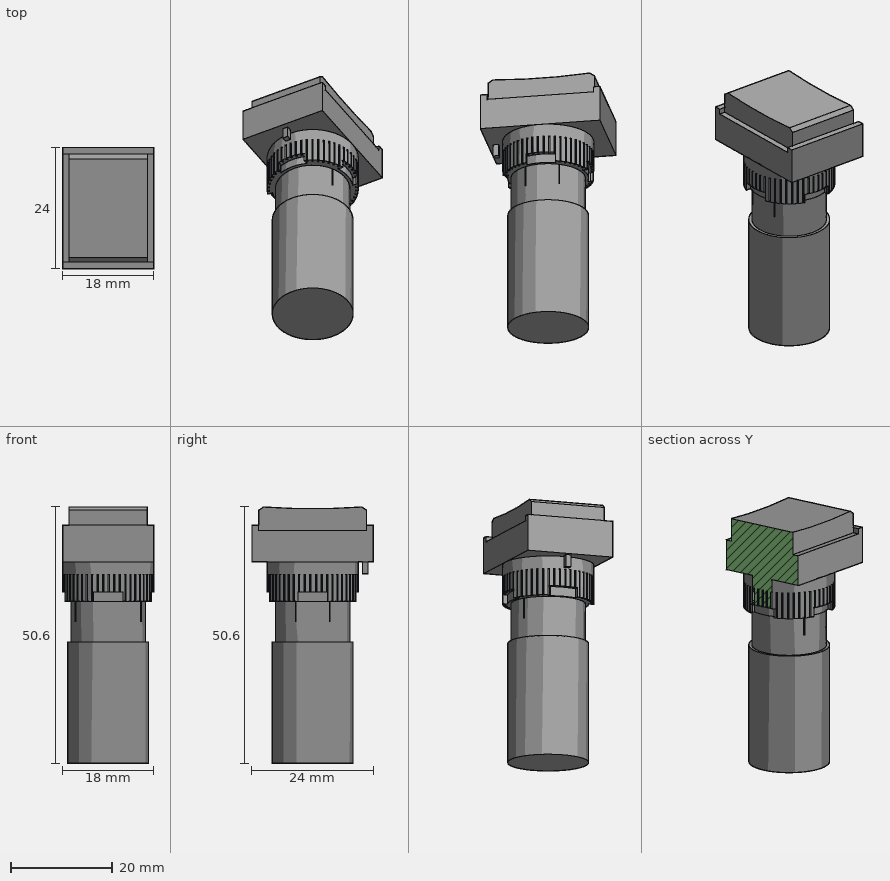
import cadquery as cq


BARREL_TOP = 24.0
SLIT_BOTTOM = 28.0
COLLAR_BOTTOM = 32.0
NOTCH_TOP = 33.8
SLOT_TOP = 37.25
PIN_BOTTOM = 37.4
BEZEL_BOTTOM = 39.75
RAIL_TOP = 45.95
BEZEL_TOP = 47.0
CAP_TOP = 50.6

BARREL_DIAMETER = 16.0
NECK_DIAMETER = 14.7
COLLAR_DIAMETER = 18.0

SLOT_COUNT = 50
SLOT_PITCH = 360 / SLOT_COUNT
FIRST_SLOT_ANGLE = -89.3
SLOT_WIDTH = 0.25
SLOT_DEPTH = 0.5
NOTCH_WIDTH = 5.8
NOTCH_FLOOR_DIAMETER = 16.0

SLIT_SPAN = 6.9
SLIT_WIDTH = 0.1
SLIT_FLOOR_DIAMETER = 14.4

BEZEL_X = COLLAR_DIAMETER
BEZEL_Y = 24.0
CAP_X = 15.5
CAP_Y = 21.3
CAP_CHAMFER_RUN = 0.95
CAP_CHAMFER_DROP = 0.65
CAP_DISH = 0.35

PIN_SIZE = 1.1
PIN_Y = 10.35


def cylinder(diameter, bottom, top):
    return cq.Workplane("XY").workplane(offset=bottom).circle(diameter / 2).extrude(top - bottom)


def block(size_x, size_y, bottom, top, x=0, y=0):
    plane = cq.Workplane("XY").workplane(offset=bottom).center(x, y)
    return plane.rect(size_x, size_y).extrude(top - bottom)


def make_collar():
    collar = cylinder(COLLAR_DIAMETER, COLLAR_BOTTOM, BEZEL_BOTTOM)

    slot_x = COLLAR_DIAMETER / 2
    slot = block(2 * SLOT_DEPTH, SLOT_WIDTH, COLLAR_BOTTOM, SLOT_TOP, x=slot_x)
    for index in range(SLOT_COUNT):
        angle = FIRST_SLOT_ANGLE + index * SLOT_PITCH
        collar = collar.cut(slot.rotate((0, 0, 0), (0, 0, 1), angle))

    bars = block(NOTCH_WIDTH, 2 * COLLAR_DIAMETER, COLLAR_BOTTOM, NOTCH_TOP)
    bars = bars.union(block(2 * COLLAR_DIAMETER, NOTCH_WIDTH, COLLAR_BOTTOM, NOTCH_TOP))
    notches = bars.cut(cylinder(NOTCH_FLOOR_DIAMETER, COLLAR_BOTTOM, NOTCH_TOP))
    return collar.cut(notches)


def make_neck():
    neck = cylinder(NECK_DIAMETER, BARREL_TOP, COLLAR_BOTTOM)
    slit_y = (SLIT_SPAN - SLIT_WIDTH) / 2
    core = cylinder(SLIT_FLOOR_DIAMETER, SLIT_BOTTOM, COLLAR_BOTTOM)
    for side in (-1, 1):
        slit = block(NECK_DIAMETER, SLIT_WIDTH, SLIT_BOTTOM, COLLAR_BOTTOM, y=side * slit_y)
        neck = neck.cut(slit.cut(core))
    return neck


def make_bezel():
    rails = block(BEZEL_X, BEZEL_Y, BEZEL_BOTTOM, RAIL_TOP)
    end_bar = (BEZEL_Y - CAP_Y) / 2
    for side in (-1, 1):
        bar_y = side * (BEZEL_Y - end_bar) / 2
        rails = rails.union(block(BEZEL_X, end_bar, RAIL_TOP, BEZEL_TOP, y=bar_y))
    return rails


def make_cap():
    half = CAP_Y / 2
    crest = half - CAP_CHAMFER_RUN
    shoulder = CAP_TOP - CAP_CHAMFER_DROP
    return (
        cq.Workplane("YZ")
        .moveTo(-half, RAIL_TOP)
        .lineTo(-half, shoulder)
        .lineTo(-crest, CAP_TOP)
        .threePointArc((0, CAP_TOP - CAP_DISH), (crest, CAP_TOP))
        .lineTo(half, shoulder)
        .lineTo(half, RAIL_TOP)
        .close()
        .extrude(CAP_X / 2, both=True)
    )


barrel = cylinder(BARREL_DIAMETER, 0, BARREL_TOP)
pin = block(PIN_SIZE, PIN_SIZE, PIN_BOTTOM, BEZEL_BOTTOM, y=PIN_Y)

result = barrel
for piece in (make_neck(), make_collar(), make_bezel(), make_cap(), pin):
    result = result.union(piece)